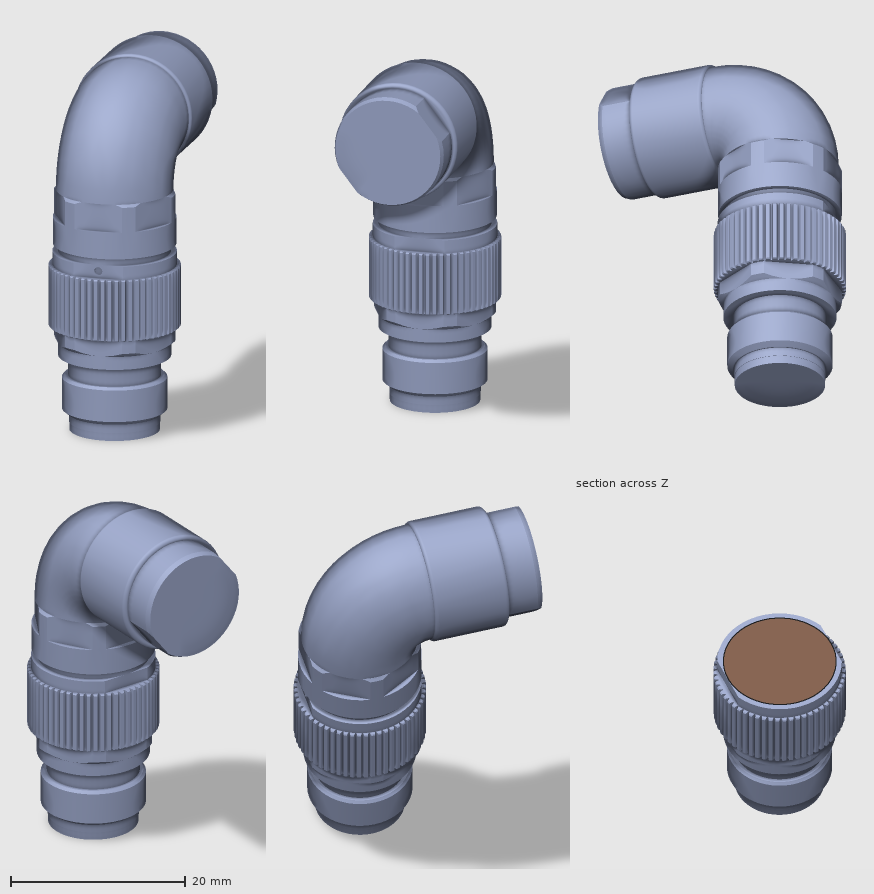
import cadquery as cq
import math


TOTAL_HEIGHT = 42.68
ARM_RADIUS = 7.05
ARM_AXIS_Z = TOTAL_HEIGHT - ARM_RADIUS
BEND_RADIUS = 7.0
ELBOW_RADIUS = 6.75
ELBOW_BASE_Z = ARM_AXIS_Z - BEND_RADIUS

ARM_START_Y = BEND_RADIUS
ARM_END_Y = 15.95
CABLE_END_Y = 19.99
ARM_EDGE_FILLET = 0.45
CABLE_END_RADIUS = 6.5
CABLE_END_CHAMFER_LENGTH = 0.6
CABLE_END_CHAMFER_DEPTH = 0.25
CABLE_END_ACROSS_FLATS = 12.0
CABLE_FLAT_ANGLE = 142.0

TIP_RADIUS = 5.2
TIP_TOP_Z = 0.95
NECK_RADIUS = 5.25
NECK_TOP_Z = 2.0

SLEEVE_RADIUS = 6.05
SLEEVE_BOTTOM_CHAMFER_RADIUS = 5.4
SLEEVE_BOTTOM_CHAMFER_HEIGHT = 0.5
SLEEVE_TOP_Z = 6.55
SLEEVE_TOP_CHAMFER = 0.3
WAIST_RADIUS = 5.35
WAIST_TOP_Z = 8.85

HEX_ACROSS_FLATS = 13.0
HEX_CORNER_RADIUS = 7.1
SHOULDER_RADIUS = HEX_ACROSS_FLATS / 2
LOWER_HEX_Z = 10.4
LOWER_HEX_CHAMFER_HEIGHT = 0.5
KNURL_BOTTOM_Z = 12.45
KNURL_TOP_Z = 19.75
COLLAR_RADIUS = 7.15
COLLAR_TOP_Z = 21.3
GROOVE_TOP_Z = 22.2
UPPER_HEX_Z = 25.35
UPPER_HEX_CHAMFER = 0.3

KNURL_RADIUS = 7.6
KNURL_ROOT_RADIUS = 7.15
KNURL_EDGE_CHAMFER = 0.12
TOOTH_COUNT = 59
TIP_SHARE = 0.48
ROOT_SHARE = 0.85

MARK_DIAMETER = 0.95
MARK_Z = 20.55
MARK_DEPTH = 0.3


def cylinder(radius, bottom_z, top_z):
    return cq.Workplane("XY").workplane(offset=bottom_z).circle(radius).extrude(top_z - bottom_z)


def hexagon(bottom_z, top_z):
    """Hexagonal prism with two of its flats facing -Y and +Y."""
    across_corners = HEX_ACROSS_FLATS / math.cos(math.radians(30))
    return (
        cq.Workplane("XY").workplane(offset=bottom_z)
        .polygon(6, across_corners).extrude(top_z - bottom_z)
    )


def plug_core():
    """Turned plug tip, contact sleeve, waist and the shoulders up to the elbow."""
    sleeve_chamfer_top_z = NECK_TOP_Z + SLEEVE_BOTTOM_CHAMFER_HEIGHT
    profile = [
        (0, 0),
        (TIP_RADIUS, 0),
        (TIP_RADIUS, TIP_TOP_Z),
        (NECK_RADIUS, TIP_TOP_Z),
        (NECK_RADIUS, NECK_TOP_Z),
        (SLEEVE_BOTTOM_CHAMFER_RADIUS, NECK_TOP_Z),
        (SLEEVE_RADIUS, sleeve_chamfer_top_z),
        (SLEEVE_RADIUS, SLEEVE_TOP_Z - SLEEVE_TOP_CHAMFER),
        (SLEEVE_RADIUS - SLEEVE_TOP_CHAMFER, SLEEVE_TOP_Z),
        (WAIST_RADIUS, SLEEVE_TOP_Z),
        (WAIST_RADIUS, WAIST_TOP_Z),
        (SHOULDER_RADIUS, WAIST_TOP_Z),
        (SHOULDER_RADIUS, GROOVE_TOP_Z),
        (HEX_CORNER_RADIUS, GROOVE_TOP_Z),
        (HEX_CORNER_RADIUS, UPPER_HEX_Z),
        (0, UPPER_HEX_Z),
    ]
    return cq.Workplane("XZ").polyline(profile).close().revolve(360, (0, 0, 0), (0, 1, 0))


def lower_hex():
    """Wrench hexagon below the knurl, its corners rounded and tapered underneath."""
    profile = [
        (0, LOWER_HEX_Z),
        (SHOULDER_RADIUS, LOWER_HEX_Z),
        (HEX_CORNER_RADIUS, LOWER_HEX_Z + LOWER_HEX_CHAMFER_HEIGHT),
        (HEX_CORNER_RADIUS, KNURL_BOTTOM_Z),
        (0, KNURL_BOTTOM_Z),
    ]
    turned = cq.Workplane("XZ").polyline(profile).close().revolve(360, (0, 0, 0), (0, 1, 0))
    return turned.intersect(hexagon(LOWER_HEX_Z, KNURL_BOTTOM_Z))


def upper_hex():
    """Wrench hexagon under the elbow, its rounded corners chamfered on top."""
    turned = cylinder(HEX_CORNER_RADIUS, UPPER_HEX_Z, ELBOW_BASE_Z)
    turned = turned.faces(">Z").chamfer(UPPER_HEX_CHAMFER)
    return turned.intersect(hexagon(UPPER_HEX_Z, ELBOW_BASE_Z))


def knurled_ring():
    """Ring of trapezoidal teeth, one of them centred on -Y."""
    pitch = 2 * math.pi / TOOTH_COUNT
    half_root = ROOT_SHARE * pitch / 2
    half_tip = TIP_SHARE * pitch / 2
    tooth = [
        (KNURL_ROOT_RADIUS, -half_root),
        (KNURL_RADIUS, -half_tip),
        (KNURL_RADIUS, half_tip),
        (KNURL_ROOT_RADIUS, half_root),
    ]
    outline = []
    for index in range(TOOTH_COUNT):
        middle = -math.pi / 2 + index * pitch
        for radius, offset in tooth:
            outline.append((radius * math.cos(middle + offset), radius * math.sin(middle + offset)))
    ring = (
        cq.Workplane("XY").workplane(offset=KNURL_BOTTOM_Z)
        .polyline(outline).close().extrude(KNURL_TOP_Z - KNURL_BOTTOM_Z)
    )
    envelope = cylinder(KNURL_RADIUS, KNURL_BOTTOM_Z, KNURL_TOP_Z)
    envelope = envelope.faces("<Z or >Z").chamfer(KNURL_EDGE_CHAMFER)
    return ring.intersect(envelope)


def flat_collar():
    """Round collar above the knurl with two flats and a round mark in the -Y flat."""
    height = COLLAR_TOP_Z - KNURL_TOP_Z
    slab = (
        cq.Workplane("XY").workplane(offset=KNURL_TOP_Z)
        .rect(2 * COLLAR_RADIUS, HEX_ACROSS_FLATS).extrude(height)
    )
    return cylinder(COLLAR_RADIUS, KNURL_TOP_Z, COLLAR_TOP_Z).intersect(slab)


def index_mark():
    """Shallow round recess sunk into the -Y collar flat."""
    return (
        cq.Workplane("XZ", origin=(0, -HEX_ACROSS_FLATS / 2, MARK_Z))
        .circle(MARK_DIAMETER / 2).extrude(-MARK_DEPTH)
    )


def elbow():
    """Quarter bend from the vertical axis to the arm axis."""
    return (
        cq.Workplane("XY", origin=(0, 0, ELBOW_BASE_Z))
        .circle(ELBOW_RADIUS)
        .revolve(90, (0, BEND_RADIUS, 0), (-1, BEND_RADIUS, 0))
    )


def arm_cylinder(radius, start_y, end_y):
    return (
        cq.Workplane("XZ", origin=(0, start_y, ARM_AXIS_Z))
        .circle(radius).extrude(start_y - end_y)
    )


def cable_arm():
    """Thicker round sleeve beyond the elbow with rounded end edges."""
    return arm_cylinder(ARM_RADIUS, ARM_START_Y, ARM_END_Y).edges().fillet(ARM_EDGE_FILLET)


def cable_end():
    """End piece with a chamfered rim and two opposite wrench flats."""
    end = arm_cylinder(CABLE_END_RADIUS, ARM_START_Y, CABLE_END_Y)
    end = end.faces(">Y").chamfer(CABLE_END_CHAMFER_LENGTH, CABLE_END_CHAMFER_DEPTH)
    flats = (
        cq.Workplane("XZ", origin=(0, ARM_START_Y, ARM_AXIS_Z))
        .rect(CABLE_END_ACROSS_FLATS, 2 * CABLE_END_RADIUS)
        .extrude(ARM_START_Y - CABLE_END_Y)
        .rotate((0, 0, ARM_AXIS_Z), (0, 1, ARM_AXIS_Z), -CABLE_FLAT_ANGLE)
    )
    return end.intersect(flats)


result = plug_core()
for build_section in (lower_hex, knurled_ring, flat_collar, upper_hex, elbow, cable_arm, cable_end):
    result = result.union(build_section())
result = result.cut(index_mark())